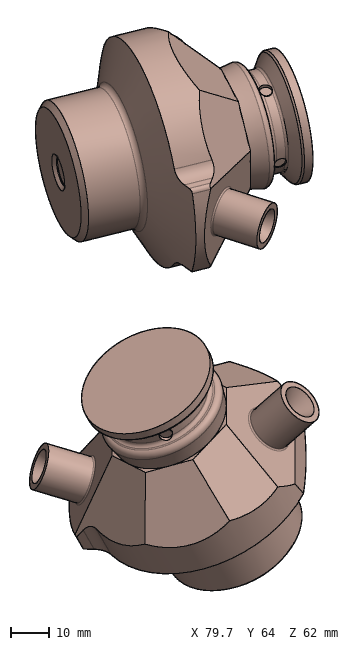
import cadquery as cq
import math


STEM_R = 38.0 / 2
STEM_CHAMFER = 1.5
STEM_END = 15.8
ROOT_R = 20.0
ROOT_Y = 17.45
CENTRE_RECESS_R = 4.9
CENTRE_FLOOR_R = 4.0
CENTRE_CONE_DEPTH = 0.95
CENTRE_RECESS_DEPTH = 1.3

RIM_R = 31.0
RIM_Y = 22.7
LOBE_R = 35.9
LOBE_HALF_WIDTH = 14.5
LOBE_FILLET = 5.0
LOBE_CORNER_ROUND = 1.4
FRONT_CONE_SLOPE = (RIM_Y - ROOT_Y) / (RIM_R - ROOT_R)

SHOULDER_Y = 47.4
NECK_R = 31.95 / 2
FACET_COUNT = 8
FACET_TILT = 45.0
LEFT_FACET_TILT = 30.0
FLAT_TILT = 5.0
FLAT_X = -27.8

COLLAR_R = 17.0
COLLAR_Y = 52.25
COLLAR_ROUND_R = 15.4
COLLAR_BULGE_INSET = 0.3
COLLAR_BULGE_DROP = 0.6
GROOVE_FRONT_Y = 54.2
GROOVE_WALL_RISE = 0.15
GROOVE_R = 13.95
GROOVE_FILLET = 1.0
GROOVE_REAR_Y = 57.8
GROOVE_LIP_R = 14.25
GROOVE_LIP_Y = 58.55
FLANGE_CONE_R = 17.6
FLANGE_CONE_Y = 61.0
FLANGE_R = 18.0
FLANGE_Y = 61.6
LENGTH = 64.0

PIN_HOLE_R = 1.75
PIN_HOLE_COUNT = 4
PIN_HOLE_Y = 56.4
PIN_HOLE_OFFSET = 2.6
PIN_HOLE_DEPTH = 0.95

NOZZLE_R = 12.7 / 2
NOZZLE_BASE_FILLET = 0.4
NOZZLE_MOUTH_R = 9.3 / 2
NOZZLE_CONE_DEPTH = 5.2
NOZZLE_BORE_R = 1.75
NOZZLE_BORE_DEPTH = 15.9
NOZZLE_ROOT = 4.8
LEFT_TIP = (-34.3, 41.75)
LEFT_ANGLE = 180 - LEFT_FACET_TILT
RIGHT_TIP = (37.7, 44.1)
RIGHT_ANGLE = FACET_TILT

BLOCK = 159.3


def polar(radius, degrees):
    angle = math.radians(degrees)
    return (radius * math.cos(angle), radius * math.sin(angle))


def arc_middle(centre, radius, degrees):
    dx, dy = polar(radius, degrees)
    return (centre[0] + dx, centre[1] + dy)


def revolve_y(profile):
    return profile.close().revolve(360, (0, 0, 0), (0, 1, 0))


def make_stem():
    stem = revolve_y(
        cq.Workplane("XY")
        .lineTo(STEM_R - STEM_CHAMFER, 0)
        .lineTo(STEM_R, STEM_CHAMFER)
        .lineTo(STEM_R, STEM_END)
        .tangentArcPoint((ROOT_R, ROOT_Y), relative=False)
        .lineTo(RIM_R, RIM_Y)
        .lineTo(0, RIM_Y)
    )
    recess = revolve_y(
        cq.Workplane("XY")
        .lineTo(CENTRE_RECESS_R, 0)
        .lineTo(CENTRE_FLOOR_R, CENTRE_CONE_DEPTH)
        .lineTo(CENTRE_FLOOR_R, CENTRE_RECESS_DEPTH)
        .lineTo(0, CENTRE_RECESS_DEPTH)
    )
    return stem.cut(recess)


def xz_prism(outline):
    """Extrude an XZ outline along +Y from the root of the front cone to the shoulder."""
    return outline.extrude(-(SHOULDER_Y - ROOT_Y))


def make_lobe():
    """Side lobe on +X, blended into the round rim by concave fillets."""
    fillet_z = LOBE_HALF_WIDTH + LOBE_FILLET
    fillet_angle = math.degrees(math.asin(fillet_z / (RIM_R + LOBE_FILLET)))
    fillet_x = polar(RIM_R + LOBE_FILLET, fillet_angle)[0]
    rim_x, rim_z = polar(RIM_R, fillet_angle)
    middle_angle = (fillet_angle + 180 + 270) / 2
    middle_x, middle_z = arc_middle((fillet_x, fillet_z), LOBE_FILLET, middle_angle)
    corner_x = math.sqrt(LOBE_R**2 - LOBE_HALF_WIDTH**2)
    outline = (
        cq.Workplane("XZ", origin=(0, ROOT_Y, 0))
        .moveTo(0, -rim_z)
        .lineTo(rim_x, -rim_z)
        .threePointArc((middle_x, -middle_z), (fillet_x, -LOBE_HALF_WIDTH))
        .lineTo(corner_x, -LOBE_HALF_WIDTH)
        .threePointArc((LOBE_R, 0), (corner_x, LOBE_HALF_WIDTH))
        .lineTo(fillet_x, LOBE_HALF_WIDTH)
        .threePointArc((middle_x, middle_z), (rim_x, rim_z))
        .lineTo(0, rim_z)
        .close()
    )
    upper_corner = cq.selectors.NearestToPointSelector(
        (corner_x, (ROOT_Y + SHOULDER_Y) / 2, LOBE_HALF_WIDTH)
    )
    return xz_prism(outline).edges(upper_corner).fillet(LOBE_CORNER_ROUND)


def make_front_cone():
    """Solid behind the front cone, which carries on from the rim across the lobe."""
    outer_r = LOBE_R + 0.8
    return revolve_y(
        cq.Workplane("XY")
        .moveTo(0, ROOT_Y)
        .lineTo(ROOT_R, ROOT_Y)
        .lineTo(outer_r, ROOT_Y + FRONT_CONE_SLOPE * (outer_r - ROOT_R))
        .lineTo(outer_r, SHOULDER_Y)
        .lineTo(0, SHOULDER_Y)
    )


def cutting_block(distance, y, tilt, around):
    """Block outside a plane at this distance from the axis at height y, leaning in by tilt."""
    block = cq.Workplane("XY").box(BLOCK, BLOCK, BLOCK, centered=(False, True, True))
    block = block.rotate((0, 0, 0), (0, 0, 1), tilt)
    return block.translate((distance, y, 0)).rotate((0, 0, 0), (0, 1, 0), around)


def make_body():
    rim = xz_prism(cq.Workplane("XZ", origin=(0, ROOT_Y, 0)).circle(RIM_R))
    body = rim.union(make_lobe()).intersect(make_front_cone())
    for i in range(FACET_COUNT):
        around = i * 360 / FACET_COUNT
        body = body.cut(cutting_block(NECK_R, SHOULDER_Y, FACET_TILT, around))
    body = body.cut(cutting_block(NECK_R, SHOULDER_Y, LEFT_FACET_TILT, 180))
    return body


def make_neck():
    collar_middle = (COLLAR_R - COLLAR_BULGE_INSET, GROOVE_FRONT_Y - COLLAR_BULGE_DROP)
    fillet_centre = (GROOVE_R + GROOVE_FILLET, GROOVE_FRONT_Y + GROOVE_WALL_RISE + GROOVE_FILLET)
    neck = revolve_y(
        cq.Workplane("XY")
        .moveTo(0, SHOULDER_Y)
        .lineTo(NECK_R, SHOULDER_Y)
        .lineTo(COLLAR_R, COLLAR_Y)
        .threePointArc(collar_middle, (COLLAR_ROUND_R, GROOVE_FRONT_Y))
        .lineTo(fillet_centre[0], GROOVE_FRONT_Y + GROOVE_WALL_RISE)
        .threePointArc(arc_middle(fillet_centre, GROOVE_FILLET, 225), (GROOVE_R, fillet_centre[1]))
        .lineTo(GROOVE_R, GROOVE_REAR_Y)
        .tangentArcPoint((GROOVE_LIP_R, GROOVE_LIP_Y), relative=False)
        .lineTo(FLANGE_CONE_R, FLANGE_CONE_Y)
        .lineTo(FLANGE_R, FLANGE_Y)
        .lineTo(FLANGE_R, LENGTH)
        .lineTo(0, LENGTH)
    )
    hole = (
        cq.Workplane("YZ", origin=(GROOVE_R - PIN_HOLE_DEPTH, PIN_HOLE_Y, -PIN_HOLE_OFFSET))
        .circle(PIN_HOLE_R)
        .extrude(2 * PIN_HOLE_DEPTH)
    )
    for i in range(PIN_HOLE_COUNT):
        around = i * 360 / PIN_HOLE_COUNT
        neck = neck.cut(hole.rotate((0, 0, 0), (0, 1, 0), around))
    return neck


def place_nozzle(shape, tip, angle):
    """Move a shape built along +Y, with the tip at the origin, to its nozzle position."""
    return shape.rotate((0, 0, 0), (0, 0, 1), angle - 90).translate((tip[0], tip[1], 0))


def nozzle_length(tip, angle):
    """Distance from the tip to the facet, which is square to the nozzle axis."""
    dx, dy = polar(1, angle)
    facet_x = math.copysign(NECK_R, tip[0])
    return (tip[0] - facet_x) * dx + (tip[1] - SHOULDER_Y) * dy


def add_nozzle(body, tip, angle):
    length = nozzle_length(tip, angle)
    base_r = NOZZLE_R + NOZZLE_BASE_FILLET
    fillet_centre = (base_r, NOZZLE_BASE_FILLET - length)
    tube = revolve_y(
        cq.Workplane("XY")
        .lineTo(NOZZLE_R, 0)
        .lineTo(NOZZLE_R, fillet_centre[1])
        .threePointArc(arc_middle(fillet_centre, NOZZLE_BASE_FILLET, 225), (base_r, -length))
        .lineTo(NOZZLE_R, -length)
        .lineTo(NOZZLE_R, -length - NOZZLE_ROOT)
        .lineTo(0, -length - NOZZLE_ROOT)
    )
    bore = revolve_y(
        cq.Workplane("XY")
        .lineTo(NOZZLE_MOUTH_R, 0)
        .lineTo(NOZZLE_BORE_R, -NOZZLE_CONE_DEPTH)
        .lineTo(NOZZLE_BORE_R, -NOZZLE_BORE_DEPTH)
        .lineTo(0, -NOZZLE_BORE_DEPTH)
    )
    return body.union(place_nozzle(tube, tip, angle)).cut(place_nozzle(bore, tip, angle))


part = make_stem().union(make_body()).union(make_neck())
part = part.cut(cutting_block(-FLAT_X, RIM_Y, FLAT_TILT, 180))
part = add_nozzle(part, LEFT_TIP, LEFT_ANGLE)
result = add_nozzle(part, RIGHT_TIP, RIGHT_ANGLE)